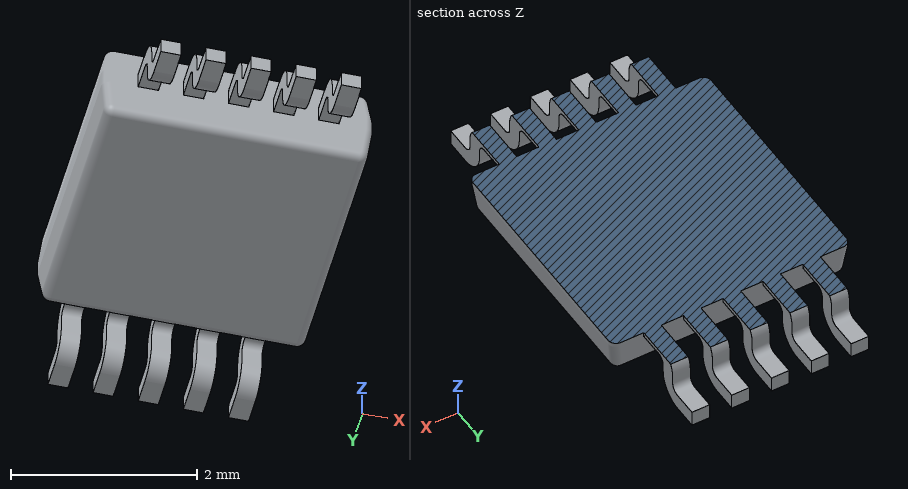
import cadquery as cq
import math

BODY_SIDE = 3.0
BODY_BOTTOM = 0.1
BODY_TOP = 1.1
DRAFT_ANGLE = 7.0
EDGE_RADIUS = 0.1

LEADS_PER_SIDE = 5
LEAD_PITCH = 0.5
LEAD_WIDTH = 0.225
LEAD_THICKNESS = 0.2
LEAD_SPAN = 5.0
LEAD_TOP = 0.7
RISER_OUTER_Y = 2.1
INNER_BEND_RADIUS = 0.1
ROOT_OVERLAP = 0.2

WAIST_TOP = LEAD_TOP
WAIST_BOTTOM = LEAD_TOP - LEAD_THICKNESS

DIMPLE_X = -0.89
DIMPLE_Y = -0.89
DIMPLE_RADIUS = 0.3
DIMPLE_DEPTH = 0.1


def drafted_half(start_z, height):
    """Body half that narrows away from the waist; a negative height goes down."""
    half = cq.Workplane("XY").rect(BODY_SIDE, BODY_SIDE).extrude(abs(height), taper=DRAFT_ANGLE)
    if height < 0:
        half = half.mirror("XY")
    return half.translate((0, 0, start_z))


def make_body():
    waist = (
        cq.Workplane("XY")
        .workplane(offset=WAIST_BOTTOM)
        .rect(BODY_SIDE, BODY_SIDE)
        .extrude(WAIST_TOP - WAIST_BOTTOM)
    )
    upper = drafted_half(WAIST_TOP, BODY_TOP - WAIST_TOP)
    lower = drafted_half(WAIST_BOTTOM, BODY_BOTTOM - WAIST_BOTTOM)
    body = waist.union(upper).union(lower)
    corner_edges = body.edges("not(#Z)")
    rim_edges = body.faces("<Z or >Z").edges()
    return corner_edges.add(rim_edges).fillet(EDGE_RADIUS)


def make_dimple_cutter():
    sphere_radius = (DIMPLE_RADIUS**2 + DIMPLE_DEPTH**2) / (2 * DIMPLE_DEPTH)
    centre_z = BODY_TOP - DIMPLE_DEPTH + sphere_radius
    return cq.Workplane("XY").sphere(sphere_radius).translate((DIMPLE_X, DIMPLE_Y, centre_z))


def make_lead():
    """One lead on the +Y side, centred on X = 0."""
    root_y = BODY_SIDE / 2 - ROOT_OVERLAP
    tip_y = LEAD_SPAN / 2
    riser_inner_y = RISER_OUTER_Y - LEAD_THICKNESS
    outer_bend_radius = INNER_BEND_RADIUS + LEAD_THICKNESS
    shoulder_end_y = RISER_OUTER_Y - outer_bend_radius
    foot_start_y = RISER_OUTER_Y + INNER_BEND_RADIUS
    upper_bend_z = LEAD_TOP - outer_bend_radius
    lower_bend_z = outer_bend_radius
    diagonal = math.sqrt(0.5)

    def bend_middle(centre_y, centre_z, radius, outward):
        """Point halfway round a bend, up and outward or down and inward."""
        return centre_y + outward * radius * diagonal, centre_z + outward * radius * diagonal

    return (
        cq.Workplane("YZ")
        .moveTo(root_y, LEAD_TOP)
        .lineTo(shoulder_end_y, LEAD_TOP)
        .threePointArc(
            bend_middle(shoulder_end_y, upper_bend_z, outer_bend_radius, 1),
            (RISER_OUTER_Y, upper_bend_z),
        )
        .lineTo(RISER_OUTER_Y, lower_bend_z)
        .threePointArc(
            bend_middle(foot_start_y, lower_bend_z, INNER_BEND_RADIUS, -1),
            (foot_start_y, LEAD_THICKNESS),
        )
        .lineTo(tip_y, LEAD_THICKNESS)
        .lineTo(tip_y, 0)
        .lineTo(foot_start_y, 0)
        .threePointArc(
            bend_middle(foot_start_y, lower_bend_z, outer_bend_radius, -1),
            (riser_inner_y, lower_bend_z),
        )
        .lineTo(riser_inner_y, upper_bend_z)
        .threePointArc(
            bend_middle(shoulder_end_y, upper_bend_z, INNER_BEND_RADIUS, 1),
            (shoulder_end_y, WAIST_BOTTOM),
        )
        .lineTo(root_y, WAIST_BOTTOM)
        .close()
        .extrude(LEAD_WIDTH / 2, both=True)
    )


result = make_body()
lead = make_lead()
opposite_lead = lead.mirror("XZ")
for index in range(LEADS_PER_SIDE):
    lead_x = (index - (LEADS_PER_SIDE - 1) / 2) * LEAD_PITCH
    result = result.union(lead.translate((lead_x, 0, 0)))
    result = result.union(opposite_lead.translate((lead_x, 0, 0)))
result = result.cut(make_dimple_cutter())